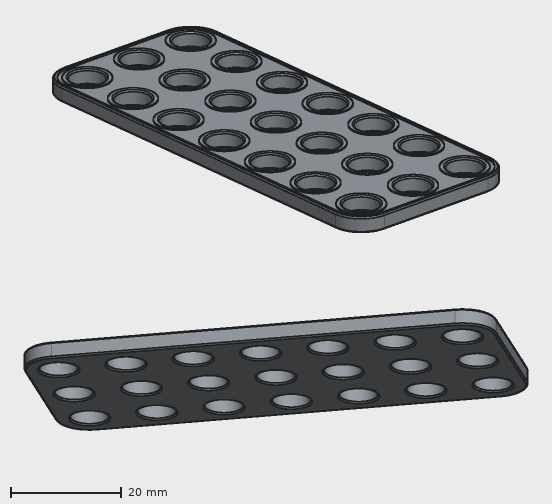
import cadquery as cq

length = 87.5
columns = 7
rows = 3
pitch = length / columns
width = rows * pitch
thickness = pitch / 4
corner_radius = pitch / 2

edge_chamfer = 0.3

hole_diameter = 7.0
ring_diameter = 9.2

border_width = 0.8
field_depth = 0.2

hole_centres = [
    ((column - (columns - 1) / 2) * pitch, (row - (rows - 1) / 2) * pitch)
    for column in range(columns)
    for row in range(rows)
]


def rounded_slab(inset, height):
    """Rounded rectangle, inset from the plate outline, standing on Z = 0."""
    return (
        cq.Workplane("XY")
        .rect(length - 2 * inset, width - 2 * inset)
        .extrude(height)
        .edges("|Z")
        .fillet(corner_radius - inset)
    )


def hole_discs(diameter, height):
    """One disc of the given diameter at every hole centre, standing on Z = 0."""
    return cq.Workplane("XY").pushPoints(hole_centres).circle(diameter / 2).extrude(height)


plate = rounded_slab(0, thickness).cut(hole_discs(hole_diameter, thickness))
plate = plate.faces("<Z or >Z").edges().chamfer(edge_chamfer)

field = rounded_slab(border_width, field_depth).cut(hole_discs(ring_diameter, field_depth))
result = plate.cut(field.translate((0, 0, thickness - field_depth)))